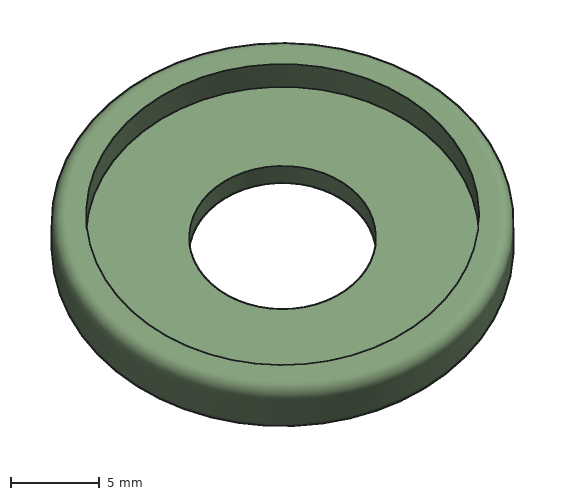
import cadquery as cq

outer_diameter = 26
height = 3.5
recess_diameter = 22.1
recess_depth = 2.0
bore_diameter = 10.5
rim_fillet = 0.75

disc = cq.Workplane("XY").circle(outer_diameter / 2).extrude(height)
disc = disc.faces("<Z or >Z").edges().fillet(rim_fillet)

recessed_disc = disc.faces(">Z").workplane().hole(recess_diameter, recess_depth)

result = recessed_disc.faces("<Z").workplane().hole(bore_diameter)